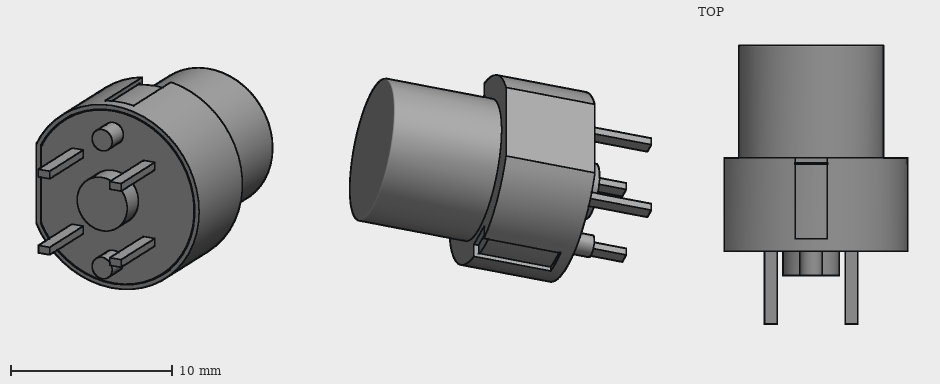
import cadquery as cq
import math


housing_radius = 6.0
flat_distance = 5.4
housing_length = 5.8
wall = 0.3
cavity_length = housing_length - wall
neck_radius = 4.5
neck_length = 7.0
neck_edge_fillet = 0.1

slot_width = 2.0
slot_length = 5.0
slot_floor = 5.0

side_clearance = 0.05
end_clearance = 0.1
base_length = cavity_length - end_clearance
spacer_radius = 2.0

peg_length = 1.5
center_peg_radius = 1.75
side_peg_radius = 0.7
side_peg_distance = 4.2

pin_width = 0.8
pin_thickness = 0.5
pin_length = 4.5
pin_spacing = 5.0


def plane_at(y):
    """XZ plane at the given Y whose extrusions grow towards +Y; its local x axis is +X."""
    return cq.Workplane(cq.Plane(origin=(0, y, 0), xDir=(1, 0, 0), normal=(0, 1, 0)))


def cylinder(radius, y, length, z=0):
    """Round bar along Y that starts at the given Y. The plane's local y axis is -Z."""
    return plane_at(y).center(0, -z).circle(radius).extrude(length)


def flat_sided_bar(inset, length):
    """Round bar with one flat on -X, set in from the housing outline by the inset."""
    radius = housing_radius - inset
    flat_x = -(flat_distance - inset)
    half_flat = math.sqrt(radius**2 - flat_x**2)
    outline = (
        plane_at(0)
        .moveTo(flat_x, -half_flat)
        .threePointArc((radius, 0), (flat_x, half_flat))
        .close()
    )
    return outline.extrude(length)


def make_housing():
    cup = flat_sided_bar(0, housing_length).cut(flat_sided_bar(wall, cavity_length))
    slot_depth = housing_radius - slot_floor
    for side in (1, -1):
        slot = cq.Workplane("XY").box(slot_width, slot_length, slot_depth).translate(
            (0, housing_length - slot_length / 2, side * (slot_floor + slot_depth / 2))
        )
        cup = cup.cut(slot)
    neck = cylinder(neck_radius, housing_length, neck_length)
    neck = neck.faces(">Y").edges().fillet(neck_edge_fillet)
    return cup.union(neck)


def make_base():
    base = flat_sided_bar(wall + side_clearance, base_length)
    base = base.union(cylinder(spacer_radius, base_length, end_clearance))
    base = base.union(cylinder(center_peg_radius, -peg_length, peg_length))
    for side in (1, -1):
        base = base.union(cylinder(side_peg_radius, -peg_length, peg_length, side * side_peg_distance))
    return base


def make_pins():
    """Four separate pins that butt against the mounting face of the base."""
    return (
        plane_at(-pin_length)
        .rarray(pin_spacing, pin_spacing, 2, 2)
        .rect(pin_width, pin_thickness)
        .extrude(pin_length)
    )


housing = make_housing()
base = make_base()
pins = make_pins()

result = cq.Compound.makeCompound([housing.val(), base.val(), *pins.vals()])